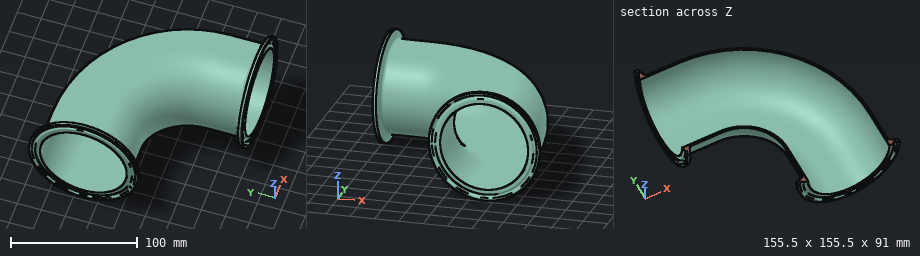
import cadquery as cq

overall_length = 155.5
flange_diameter = 91.0
pipe_diameter = 76.4
bore_diameter = 72.3
bend_start = 35.0
rim_width = 2.8
cone_end = 5.8
neck_fillet = 2.0
groove_inner_radius = 40.3
groove_outer_radius = 43.2
groove_depth = 1.5
groove_edge_fillet = 0.8
selection_margin = 0.2

flange_radius = flange_diameter / 2
pipe_radius = pipe_diameter / 2
bore_radius = bore_diameter / 2
axis_offset = overall_length - flange_radius
bend_radius = axis_offset - bend_start


def make_ferrule():
    """Pipe leg along +X with a clamp flange whose face lies at X = 0."""
    leg = (
        cq.Workplane("XY")
        .moveTo(0, bore_radius)
        .lineTo(0, flange_radius)
        .lineTo(rim_width, flange_radius)
        .lineTo(cone_end, pipe_radius)
        .lineTo(bend_start, pipe_radius)
        .lineTo(bend_start, bore_radius)
        .close()
        .revolve(360, (0, 0, 0), (1, 0, 0))
    )
    neck_edge = cq.selectors.BoxSelector(
        (cone_end - selection_margin, -pipe_diameter, -pipe_diameter),
        (cone_end + selection_margin, pipe_diameter, pipe_diameter),
    )
    leg = leg.edges(neck_edge).fillet(neck_fillet)

    groove_middle = (groove_inner_radius + groove_outer_radius) / 2
    groove = (
        cq.Workplane("XY")
        .moveTo(0, groove_inner_radius)
        .threePointArc((groove_depth, groove_middle), (0, groove_outer_radius))
        .close()
        .revolve(360, (0, 0, 0), (1, 0, 0))
    )
    leg = leg.cut(groove)
    end_face = leg.faces("<X")
    radius_rank = cq.selectors.RadiusNthSelector
    groove_edges = end_face.edges(radius_rank(1)).add(
        end_face.edges(radius_rank(2))
    )
    return leg.newObject(groove_edges.vals()).fillet(groove_edge_fillet)


def make_bend():
    """Quarter-turn pipe from the end of the X leg to the end of the Y leg."""
    return (
        cq.Workplane("YZ", origin=(bend_start, 0, 0))
        .circle(pipe_radius)
        .circle(bore_radius)
        .revolve(90, (-bend_radius, 1.5, 0), (-bend_radius, 0, 0))
    )


x_leg = make_ferrule()
y_leg = x_leg.rotate((0, 0, 0), (0, 0, 1), 90).translate((axis_offset, -axis_offset, 0))
result = x_leg.union(make_bend()).union(y_leg)